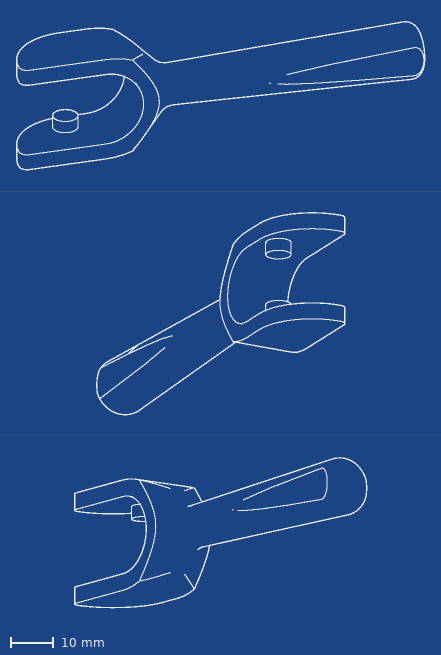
import cadquery as cq
import math

total_length = 100.0
fork_width = 16.0
fork_height = 26.5
arm_thickness = 4.0
arm_length = 20.7
shoulder_radius = 20.0
shoulder_end_z = 8.0
tip_corner_radius = 2.0

handle_end_radius = 6.95
handle_end_round = 3.0
neck_radius = 5.0
neck_fillet = 4.0
cone_apex_y = 21.1
flat_half_width = 5.75

cone_margin = 1.0

pin_diameter = 6.0
pin_height = 3.0
pin_x = -3.0

half_width = fork_width / 2
half_height = fork_height / 2
slot_radius = half_height - arm_thickness
tip_y = -arm_length
handle_end_y = total_length - arm_length
neck_y = cone_apex_y - neck_radius
tip_large_radius = fork_width - tip_corner_radius
pin_y = tip_y + tip_large_radius
cone_outer_radius = math.hypot(half_width, half_height) + cone_margin


def turned_blank():
    """Tapered handle flaring through a filleted neck into a 45 degree cone that covers the fork."""
    handle = (
        cq.Workplane("XY")
        .moveTo(0, handle_end_y)
        .lineTo(handle_end_radius, handle_end_y)
        .lineTo(neck_radius, neck_y)
        .lineTo(cone_outer_radius, cone_apex_y - cone_outer_radius)
        .lineTo(cone_outer_radius, tip_y)
        .lineTo(0, tip_y)
        .close()
        .revolve(360, (0, 0, 0), (0, 1, 0))
    )
    handle = handle.edges(cq.selectors.NearestToPointSelector((0, neck_y, 0))).fillet(neck_fillet)
    return handle.faces(">Y").edges().fillet(handle_end_round)


def side_envelope():
    """Side outline: parallel arms, arc shoulders and clearance for the handle, across the fork width."""
    arc_centre_z = half_height - shoulder_radius

    def arc_y(z):
        return math.sqrt(shoulder_radius**2 - (z - arc_centre_z) ** 2)

    middle_z = (half_height + shoulder_end_z) / 2
    return (
        cq.Workplane("YZ")
        .moveTo(tip_y, half_height)
        .lineTo(0, half_height)
        .threePointArc((arc_y(middle_z), middle_z), (arc_y(shoulder_end_z), shoulder_end_z))
        .lineTo(handle_end_y, shoulder_end_z)
        .lineTo(handle_end_y, -shoulder_end_z)
        .lineTo(arc_y(shoulder_end_z), -shoulder_end_z)
        .threePointArc((arc_y(middle_z), -middle_z), (0, -half_height))
        .lineTo(tip_y, -half_height)
        .close()
        .extrude(half_width, both=True)
    )


def plan_envelope():
    """Plan outline: fork width with one large and one small rounded tip corner, and the grip flats."""
    corner_x = half_width - tip_corner_radius
    return (
        cq.Workplane("XY")
        .moveTo(-half_width, pin_y)
        .radiusArc((corner_x, tip_y), -tip_large_radius)
        .radiusArc((half_width, tip_y + tip_corner_radius), -tip_corner_radius)
        .lineTo(half_width, cone_apex_y)
        .lineTo(flat_half_width, cone_apex_y)
        .lineTo(flat_half_width, handle_end_y)
        .lineTo(-flat_half_width, handle_end_y)
        .lineTo(-flat_half_width, cone_apex_y)
        .lineTo(-half_width, cone_apex_y)
        .close()
        .extrude(half_height, both=True)
    )


def fork_slot():
    """Open slot between the arms with a full-round end."""
    return (
        cq.Workplane("YZ")
        .moveTo(tip_y, slot_radius)
        .lineTo(0, slot_radius)
        .threePointArc((slot_radius, 0), (0, -slot_radius))
        .lineTo(tip_y, -slot_radius)
        .close()
        .extrude(half_width, both=True)
    )


def arm_pin(side):
    """Pin on the inner face of one arm: side is +1 for the upper arm and -1 for the lower arm."""
    return (
        cq.Workplane("XY", origin=(pin_x, pin_y, side * slot_radius))
        .circle(pin_diameter / 2)
        .extrude(-side * pin_height)
    )


result = turned_blank().intersect(side_envelope()).intersect(plan_envelope()).cut(fork_slot())
for side in (1, -1):
    result = result.union(arm_pin(side))